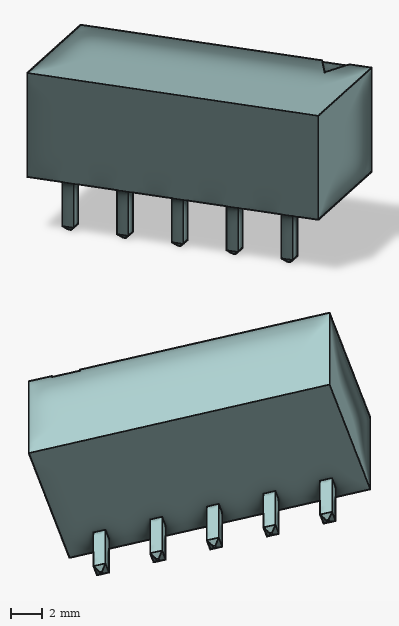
import cadquery as cq

HOUSING_LENGTH = 20.25
HOUSING_WIDTH = 9.2
HOUSING_HEIGHT = 7.2

TOTAL_HEIGHT = 10.9
PIN_COUNT = 5
PIN_ROW_SPAN = 15.25
PIN_PITCH = PIN_ROW_SPAN / (PIN_COUNT - 1)
PIN_SIDE = 0.8
PIN_LENGTH = TOTAL_HEIGHT - HOUSING_HEIGHT
PIN_ROW_INSET = 1.21
PIN_ROW_Y = -HOUSING_WIDTH / 2 + PIN_ROW_INSET
TIP_CHAMFER = 0.32
PIN_X_POSITIONS = [i * PIN_PITCH - PIN_ROW_SPAN / 2 for i in range(PIN_COUNT)]

MARKER_SIDE = 1.9
MARKER_DEPTH = 0.1
MARKER_X = PIN_X_POSITIONS[-1]


def make_marker_recess():
    """Triangular cutter whose apex points toward -Y."""
    back_y = HOUSING_WIDTH / 2
    return (
        cq.Workplane("XY", origin=(MARKER_X, back_y, HOUSING_HEIGHT))
        .moveTo(-MARKER_SIDE / 2, 0)
        .lineTo(0, -MARKER_SIDE)
        .lineTo(MARKER_SIDE / 2, 0)
        .close()
        .extrude(-MARKER_DEPTH)
    )


def make_housing():
    """Rectangular block with the marker recess in its top face."""
    block = cq.Workplane("XY").box(
        HOUSING_LENGTH, HOUSING_WIDTH, HOUSING_HEIGHT, centered=(True, True, False)
    )
    return block.cut(make_marker_recess())


def make_pin(x):
    """Square pin hanging from the housing's bottom face, with a chamfered lower tip."""
    return (
        cq.Workplane("XY", origin=(x, PIN_ROW_Y, 0))
        .rect(PIN_SIDE, PIN_SIDE)
        .extrude(-PIN_LENGTH)
        .faces("<Z")
        .chamfer(TIP_CHAMFER)
    )


housing = make_housing()
pins = [make_pin(x) for x in PIN_X_POSITIONS]

result = cq.Compound.makeCompound([housing.val(), *[pin.val() for pin in pins]])